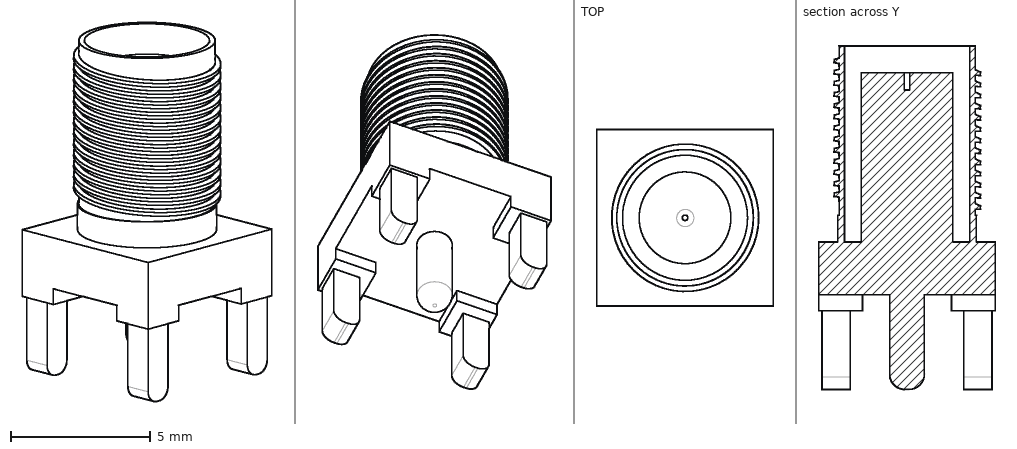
import cadquery as cq

BASE_SIDE = 6.35
BASE_TOP = 5.31
RELIEF_TOP = 3.41
FOOT_BOTTOM = 2.83
FOOT_SIDE = 1.58

LEG_WIDTH = 1.03
LEG_OFFSET = 2.55
LEG_TIP_RADIUS = 0.46
PIN_DIAMETER = 1.27
PIN_TIP_RADIUS = 0.57

TOTAL_HEIGHT = 12.35
COLLAR_DIAMETER = 5.0
COLLAR_TOP = 6.27
BARREL_DIAMETER = 4.9

SOCKET_DIAMETER = 4.5
SOCKET_FLOOR = BASE_TOP
PLUG_DIAMETER = 3.3
PLUG_TOP = TOTAL_HEIGHT - 0.96
CONTACT_DIAMETER = 0.62
CONTACT_HOLE_DIAMETER = 0.2
CONTACT_HOLE_DEPTH = 0.62

RIDGE_COUNT = 13
TOP_RIDGE_Z = 11.5
BOTTOM_RIDGE_Z = 6.69
RIDGE_PITCH = (TOP_RIDGE_Z - BOTTOM_RIDGE_Z) / (RIDGE_COUNT - 1)
RIDGE_TILT = 5.0
RIDGE_DIAMETER = 5.3
RIDGE_HEIGHT = 0.21
RIDGE_UPPER_SLOPE = 0.06
RIDGE_LOWER_SLOPE = 0.01
RIDGE_OVERLAP = 0.1


def cylinder(diameter, bottom, top):
    return cq.Workplane("XY").workplane(offset=bottom).circle(diameter / 2).extrude(top - bottom)


def make_base():
    """Square block whose underside keeps four corner feet."""
    height = BASE_TOP - FOOT_BOTTOM
    underside = cq.Workplane("XY").workplane(offset=FOOT_BOTTOM)
    base = underside.rect(BASE_SIDE, BASE_SIDE).extrude(height)
    relief_width = BASE_SIDE - 2 * FOOT_SIDE
    relief_height = RELIEF_TOP - FOOT_BOTTOM
    for length_x, length_y in ((BASE_SIDE, relief_width), (relief_width, BASE_SIDE)):
        base = base.cut(underside.rect(length_x, length_y).extrude(relief_height))
    return base


def make_legs():
    """Four square legs, each tip rounded about the X direction."""
    legs = (
        cq.Workplane("XY")
        .rect(2 * LEG_OFFSET, 2 * LEG_OFFSET, forConstruction=True)
        .vertices()
        .rect(LEG_WIDTH, LEG_WIDTH)
        .extrude(FOOT_BOTTOM)
    )
    return legs.faces("<Z").edges("|X").fillet(LEG_TIP_RADIUS)


def make_pin():
    return cylinder(PIN_DIAMETER, 0, RELIEF_TOP).faces("<Z").edges().fillet(PIN_TIP_RADIUS)


def make_ridge(root_z):
    """One ring with a steep lower flank, tilted so that its -X side is the higher one."""
    inner_radius = BARREL_DIAMETER / 2 - RIDGE_OVERLAP
    root_radius = BARREL_DIAMETER / 2
    crest_radius = RIDGE_DIAMETER / 2
    ring = (
        cq.Workplane("XZ")
        .polyline([
            (inner_radius, 0),
            (root_radius, 0),
            (crest_radius, RIDGE_LOWER_SLOPE),
            (crest_radius, RIDGE_HEIGHT - RIDGE_UPPER_SLOPE),
            (root_radius, RIDGE_HEIGHT),
            (inner_radius, RIDGE_HEIGHT),
        ])
        .close()
        .revolve(360, (0, 0, 0), (0, 1, 0))
    )
    return ring.rotate((0, 0, 0), (0, 1, 0), RIDGE_TILT).translate((0, 0, root_z))


def make_barrel():
    """Hollow barrel with its collar and thread ridges."""
    barrel = cylinder(COLLAR_DIAMETER, BASE_TOP, COLLAR_TOP)
    barrel = barrel.union(cylinder(BARREL_DIAMETER, COLLAR_TOP, TOTAL_HEIGHT))
    barrel = barrel.cut(cylinder(SOCKET_DIAMETER, SOCKET_FLOOR, TOTAL_HEIGHT))
    for index in range(RIDGE_COUNT):
        barrel = barrel.union(make_ridge(TOP_RIDGE_Z - index * RIDGE_PITCH))
    return barrel


def make_plug():
    """Insulating plug, bored for the contact."""
    plug = cylinder(PLUG_DIAMETER, SOCKET_FLOOR, PLUG_TOP)
    return plug.cut(cylinder(CONTACT_DIAMETER, SOCKET_FLOOR, PLUG_TOP))


def make_contact():
    """Contact that fills the plug's bore, with a blind hole in its end."""
    contact = cylinder(CONTACT_DIAMETER, SOCKET_FLOOR, PLUG_TOP)
    return contact.cut(cylinder(CONTACT_HOLE_DIAMETER, PLUG_TOP - CONTACT_HOLE_DEPTH, PLUG_TOP))


body = make_base().union(make_legs()).union(make_pin()).union(make_barrel()).union(make_plug())

result = body.union(make_contact(), clean=False)